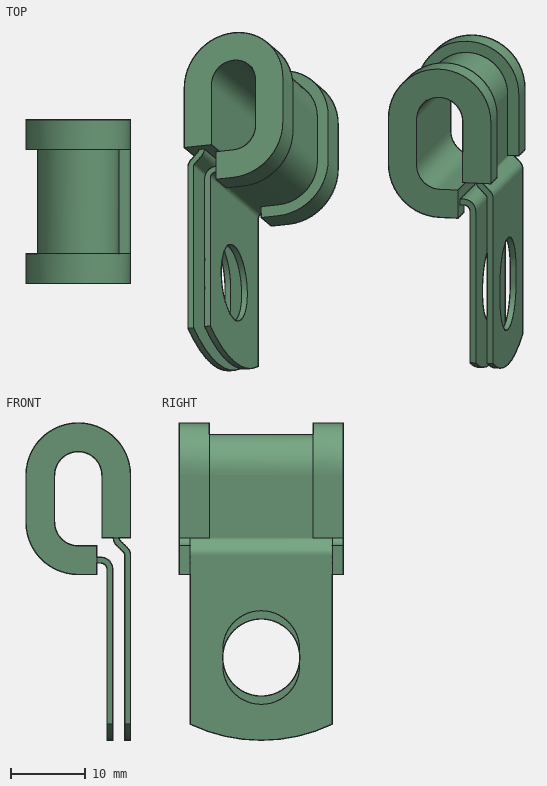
import cadquery as cq
import math

overall_height = 42.7
overall_length = 22.1
outer_radius = 7.05
liner_wall = 3.9
flange_length = 4.05
arc_spacing = 6.32
long_arm_drop = 8.4
short_arm_reach = 2.5

strap_thickness = 0.8
strap_width = 19.15
short_tab_outer_x = 4.65
jog_inner_radius = 0.55
elbow_inner_radius = 0.8

hole_diameter = 10.35
hole_below_top = 31.55
slot_centre_spacing = 2.25
tab_end_sag = 2.2

bore_radius = outer_radius - liner_wall
flange_height = (liner_wall - strap_thickness) / 2
strap_outer_radius = outer_radius - flange_height
strap_inner_radius = strap_outer_radius - strap_thickness
core_length = overall_length - 2 * flange_length
tab_bottom_z = outer_radius - overall_height
hole_z = outer_radius - hole_below_top


def extrude_along_y(outline, length):
    return outline.close().extrude(length / 2, both=True)


def hooked_loop(inner_radius, loop_radius, length):
    """Open loop: long +X arm, upper half circle, -X side, lower quarter and short arm."""
    outline = (
        cq.Workplane("XZ")
        .moveTo(loop_radius, -long_arm_drop)
        .lineTo(loop_radius, 0)
        .threePointArc((0, loop_radius), (-loop_radius, 0))
        .lineTo(-loop_radius, -arc_spacing)
        .radiusArc((0, -arc_spacing - loop_radius), -loop_radius)
        .lineTo(short_arm_reach, -arc_spacing - loop_radius)
        .lineTo(short_arm_reach, -arc_spacing - inner_radius)
        .lineTo(0, -arc_spacing - inner_radius)
        .radiusArc((-inner_radius, -arc_spacing), inner_radius)
        .lineTo(-inner_radius, 0)
        .threePointArc((0, inner_radius), (inner_radius, 0))
        .lineTo(inner_radius, -long_arm_drop)
    )
    return extrude_along_y(outline, length)


def short_tab():
    """Tab leaving the short arm horizontally and turning down through one elbow."""
    elbow_outer_radius = elbow_inner_radius + strap_thickness
    elbow_x = short_tab_outer_x - elbow_outer_radius
    top_z = -arc_spacing - strap_inner_radius
    elbow_z = top_z - elbow_outer_radius
    tab_inner_x = short_tab_outer_x - strap_thickness
    outline = (
        cq.Workplane("XZ")
        .moveTo(short_arm_reach, top_z)
        .lineTo(elbow_x, top_z)
        .radiusArc((short_tab_outer_x, elbow_z), elbow_outer_radius)
        .lineTo(short_tab_outer_x, tab_bottom_z)
        .lineTo(tab_inner_x, tab_bottom_z)
        .lineTo(tab_inner_x, elbow_z)
        .radiusArc((elbow_x, top_z - strap_thickness), -elbow_inner_radius)
        .lineTo(short_arm_reach, top_z - strap_thickness)
    )
    return extrude_along_y(outline, strap_width)


def long_tab():
    """Tab leaving the long arm and jogging outward at 45 degrees to the outer face."""
    jog_outer_radius = jog_inner_radius + strap_thickness
    bend_cos = math.cos(math.radians(45))
    bend_versine = 1 - bend_cos
    bend_radii = jog_inner_radius + jog_outer_radius
    slant_run = flange_height - bend_radii * bend_versine
    jog_bottom_z = -long_arm_drop - bend_radii * bend_cos - slant_run
    tab_inner_x = outer_radius - strap_thickness
    upper_bend_z = -long_arm_drop - jog_inner_radius * bend_cos
    lower_bend_z = jog_bottom_z + jog_outer_radius * bend_cos
    inner_upper_z = -long_arm_drop - jog_outer_radius * bend_cos
    inner_lower_z = jog_bottom_z + jog_inner_radius * bend_cos
    outline = (
        cq.Workplane("XZ")
        .moveTo(strap_outer_radius, -long_arm_drop)
        .radiusArc((strap_outer_radius + jog_inner_radius * bend_versine, upper_bend_z), -jog_inner_radius)
        .lineTo(outer_radius - jog_outer_radius * bend_versine, lower_bend_z)
        .radiusArc((outer_radius, jog_bottom_z), jog_outer_radius)
        .lineTo(outer_radius, tab_bottom_z)
        .lineTo(tab_inner_x, tab_bottom_z)
        .lineTo(tab_inner_x, jog_bottom_z)
        .radiusArc((tab_inner_x - jog_inner_radius * bend_versine, inner_lower_z), -jog_inner_radius)
        .lineTo(strap_inner_radius + jog_outer_radius * bend_versine, inner_upper_z)
        .radiusArc((strap_inner_radius, -long_arm_drop), jog_outer_radius)
    )
    return extrude_along_y(outline, strap_width)


def tab_silhouette():
    """Block spanning both tabs in X, with their rounded lower end."""
    half_width = strap_width / 2
    corner_z = tab_bottom_z + tab_end_sag
    return (
        cq.Workplane("YZ")
        .moveTo(-half_width, 0)
        .lineTo(-half_width, corner_z)
        .threePointArc((0, tab_bottom_z), (half_width, corner_z))
        .lineTo(half_width, 0)
        .close()
        .extrude(outer_radius)
    )


def round_hole():
    """Cutter for the short tab's bolt hole."""
    return cq.Workplane("YZ").center(0, hole_z).circle(hole_diameter / 2).extrude(outer_radius)


def slotted_hole():
    """Cutter for the long tab's vertical slot, centred on the bolt hole."""
    slot_length = hole_diameter + slot_centre_spacing
    return cq.Workplane("YZ").center(0, hole_z).slot2D(slot_length, hole_diameter, 90).extrude(outer_radius)


result = hooked_loop(bore_radius, strap_outer_radius, core_length)

flange_offset = (overall_length - flange_length) / 2
for side in (-1, 1):
    flange = hooked_loop(bore_radius, outer_radius, flange_length)
    result = result.union(flange.translate((0, side * flange_offset, 0)))

for tab, hole in ((short_tab(), round_hole()), (long_tab(), slotted_hole())):
    result = result.union(tab.intersect(tab_silhouette()).cut(hole))